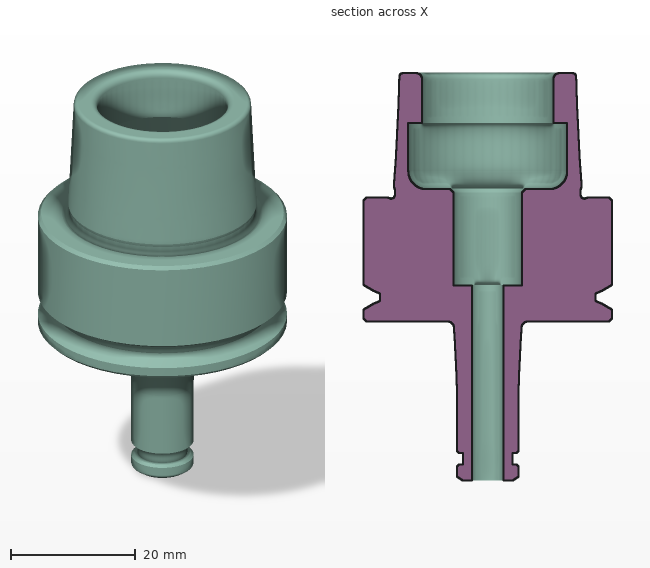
import cadquery as cq
import math

total_height = 65.5

flange_radius = 40.0 / 2
flange_bottom = 25.55
flange_top = 45.5
flange_chamfer = 0.5
groove_floor_radius = 34.8 / 2
groove_shoulder_radius = 18.35
groove_mid_height = 29.5
groove_half_width = 1.95
groove_shoulder_half_width = 1.0
groove_floor_half_width = 0.6

shank_base_radius = 15.1
shank_tip_radius = 14.2
shank_tip_round = 0.65
shank_base_height = 47.2
relief_radius = 29.95 / 2
relief_top = 46.7
relief_round = 0.6
recess_depth = 0.2
recess_outer_radius = 16.1

pin_root_radius = 10.95 / 2
pin_root_round = 1.0
pin_radius = 10.0 / 2
pin_taper_end = 15.1
pin_neck_radius = 8.0 / 2
pin_neck_top = 4.45
pin_neck_bottom = 2.7
pin_edge_chamfer = 0.4
pin_tip_radius = pin_neck_radius
pin_tip_cone_radius = 4.8
pin_tip_cone_height = 0.5
pin_tip_round_top = 0.9

mouth_radius = 21.0 / 2
mouth_round = 1.05
lip_bottom = 57.45
undercut_radius = 25.5 / 2
undercut_bottom = 49.7
bore_floor_radius = 9.9
bore_floor_round = undercut_radius - bore_floor_radius
bore_floor = undercut_bottom - bore_floor_round
pocket_radius = 10.95 / 2
pocket_chamfer = 0.6
pocket_floor = 31.45
through_radius = 5.0 / 2

arc_mid = math.sqrt(0.5)


def revolve(profile):
    """Turn a closed (radius, height) profile about the Z axis."""
    return profile.close().revolve(360, (0, 0, 0), (0, 1, 0))


def make_pin():
    root_round_start = flange_bottom - pin_root_round
    root_round_centre = pin_root_radius + pin_root_round
    return revolve(
        cq.Workplane("XZ")
        .moveTo(0, 0)
        .lineTo(pin_tip_radius, 0)
        .lineTo(pin_tip_cone_radius, pin_tip_cone_height)
        .tangentArcPoint((pin_radius, pin_tip_round_top), relative=False)
        .lineTo(pin_radius, pin_neck_bottom - pin_edge_chamfer)
        .lineTo(pin_radius - pin_edge_chamfer, pin_neck_bottom)
        .lineTo(pin_neck_radius, pin_neck_bottom)
        .lineTo(pin_neck_radius, pin_neck_top)
        .lineTo(pin_radius - pin_edge_chamfer, pin_neck_top)
        .lineTo(pin_radius, pin_neck_top + pin_edge_chamfer)
        .lineTo(pin_radius, pin_taper_end)
        .lineTo(pin_root_radius, root_round_start)
        .threePointArc(
            (
                root_round_centre - arc_mid * pin_root_round,
                root_round_start + arc_mid * pin_root_round,
            ),
            (root_round_centre, flange_bottom),
        )
        .lineTo(0, flange_bottom)
    )


def make_flange():
    disc = (
        cq.Workplane("XY")
        .workplane(offset=flange_bottom)
        .circle(flange_radius)
        .extrude(flange_top - flange_bottom)
        .faces("<Z or >Z")
        .edges()
        .chamfer(flange_chamfer)
    )
    groove = revolve(
        cq.Workplane("XZ")
        .moveTo(flange_radius, groove_mid_height - groove_half_width)
        .lineTo(groove_shoulder_radius, groove_mid_height - groove_shoulder_half_width)
        .lineTo(groove_floor_radius, groove_mid_height - groove_floor_half_width)
        .lineTo(groove_floor_radius, groove_mid_height + groove_floor_half_width)
        .lineTo(groove_shoulder_radius, groove_mid_height + groove_shoulder_half_width)
        .lineTo(flange_radius, groove_mid_height + groove_half_width)
    )
    return disc.cut(groove)


def make_shank():
    shank = revolve(
        cq.Workplane("XZ")
        .moveTo(0, flange_bottom)
        .lineTo(relief_radius, flange_bottom)
        .lineTo(relief_radius, relief_top)
        .lineTo(shank_base_radius, shank_base_height)
        .lineTo(shank_tip_radius, total_height)
        .lineTo(0, total_height)
    )
    return shank.faces(">Z").edges().fillet(shank_tip_round)


def make_collar():
    """Stock around the shank foot that the recess rounds into a fillet."""
    return (
        cq.Workplane("XY")
        .workplane(offset=flange_bottom)
        .circle(relief_radius + relief_round)
        .extrude(flange_top - recess_depth + relief_round - flange_bottom)
    )


def make_face_recess():
    """Shallow ring sunk into the flange face, rounded up into the shank relief."""
    round_centre = relief_radius + relief_round
    round_top = flange_top - recess_depth + relief_round
    return revolve(
        cq.Workplane("XZ")
        .moveTo(recess_outer_radius, flange_top)
        .lineTo(round_centre, flange_top - recess_depth)
        .threePointArc(
            (round_centre - arc_mid * relief_round, round_top - arc_mid * relief_round),
            (relief_radius, round_top),
        )
        .lineTo(recess_outer_radius, round_top)
    )


def make_bore():
    mouth_round_start = total_height - mouth_round
    mouth_edge_radius = mouth_radius + mouth_round
    return revolve(
        cq.Workplane("XZ")
        .moveTo(0, 0)
        .lineTo(through_radius, 0)
        .lineTo(through_radius, pocket_floor)
        .lineTo(pocket_radius, pocket_floor)
        .lineTo(pocket_radius, bore_floor - pocket_chamfer)
        .lineTo(pocket_radius + pocket_chamfer, bore_floor)
        .lineTo(bore_floor_radius, bore_floor)
        .threePointArc(
            (
                bore_floor_radius + arc_mid * bore_floor_round,
                undercut_bottom - arc_mid * bore_floor_round,
            ),
            (undercut_radius, undercut_bottom),
        )
        .lineTo(undercut_radius, lip_bottom)
        .lineTo(mouth_radius, lip_bottom)
        .lineTo(mouth_radius, mouth_round_start)
        .threePointArc(
            (
                mouth_edge_radius - arc_mid * mouth_round,
                mouth_round_start + arc_mid * mouth_round,
            ),
            (mouth_edge_radius, total_height),
        )
        .lineTo(0, total_height)
    )


flange = make_flange().union(make_collar()).cut(make_face_recess())
result = flange.union(make_pin()).union(make_shank()).cut(make_bore())